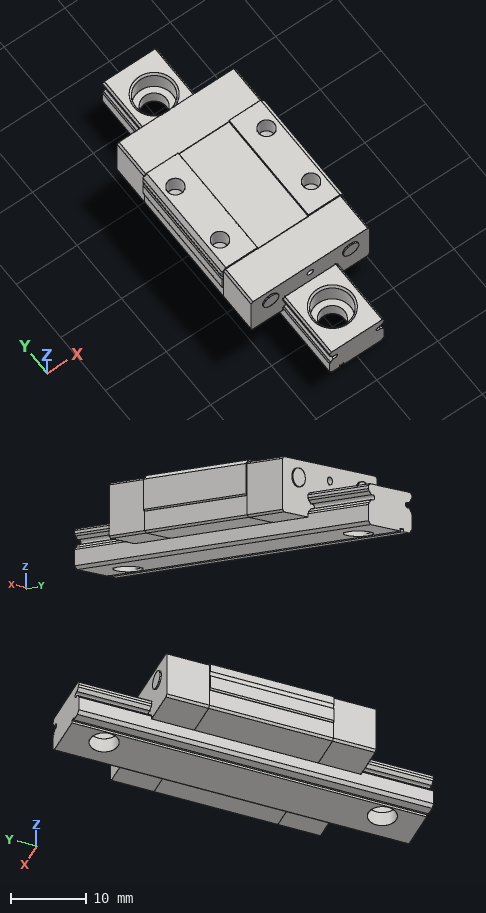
import cadquery as cq
import math


RAIL_LENGTH = 51.0
BLOCK_WIDTH = 20.0
ASSEMBLY_HEIGHT = 10.0

RAIL_WIDTH = 9.0
RAIL_HEIGHT = 5.5
RAIL_TOP_CHAMFER = 0.3
RAIL_BOTTOM_CHAMFER = 0.45
RACE_CENTRE_Z = 3.7
RACE_HALF_OPENING = 1.05
RACE_BEVEL_HEIGHT = 0.3
RACE_BEVEL_INSET = 0.15
RACE_ROOT_INSET = 0.6
RELIEF_RADIUS = 0.33
RELIEF_DEPTH = 1.3
MARK_WIDTH = 0.65
MARK_DEPTH = 0.35
MARK_X = -2.45

RAIL_HOLE_PITCH = 40.0
RAIL_HOLE_DIAMETER = 4.0
COUNTERBORE_DIAMETER = 6.0
COUNTERBORE_DEPTH = 3.25
COUNTERBORE_CHAMFER = 0.3

CARRIAGE_LENGTH = 30.1
BLOCK_LENGTH = 17.8
CAP_LENGTH = (CARRIAGE_LENGTH - BLOCK_LENGTH) / 2
CAP_WIDTH = 19.5
CAP_TOP_Z = 9.7
CARRIAGE_BOTTOM_Z = 2.2
CARRIAGE_CHAMFER = 0.3

BLOCK_TOP_CHAMFER = 0.6
LEDGE_Z = 5.1
LEDGE_CHAMFER = 0.2
TOP_RECESS_WIDTH = 8.35
TOP_RECESS_DEPTH = 0.4
SIDE_GROOVE_Z = 7.75
SIDE_GROOVE_RADIUS = 0.45
SIDE_GROOVE_DEPTH = 0.2
TAPPED_HOLE_PITCH_X = 15.0
TAPPED_HOLE_PITCH_Y = 10.0
TAPPED_HOLE_DIAMETER = 2.55
TAPPED_HOLE_DEPTH = 3.0
DRILL_POINT_ANGLE = 118.0

SCREW_HEAD_SPACING = 13.15
SCREW_HEAD_Z = 7.25
SCREW_HEAD_DIAMETER = 2.55
SCREW_HEAD_HEIGHT = 0.2
GREASE_PORT_DIAMETER = 1.0
GREASE_PORT_Z = 7.7


def bar_along_y(section_width, bottom_z, top_z, length):
    """Rectangular bar centred on X = 0 and Y = 0."""
    height = top_z - bottom_z
    return cq.Workplane("XY").box(section_width, length, height).translate((0, 0, bottom_z + height / 2))


def race_cutter(side):
    """Ball race for one rail flank: a bevelled V groove running into a round-bottomed relief slot."""
    flank_x = RAIL_WIDTH / 2
    bevel_x = flank_x - RACE_BEVEL_INSET
    bevel_half_opening = RACE_HALF_OPENING - RACE_BEVEL_HEIGHT
    root_x = flank_x - RACE_ROOT_INSET
    slot_end_x = flank_x - RELIEF_DEPTH
    arc_start_x = slot_end_x + RELIEF_RADIUS
    outline = (
        cq.Workplane("XZ", origin=(0, RAIL_LENGTH / 2, RACE_CENTRE_Z))
        .moveTo(side * flank_x, RACE_HALF_OPENING)
        .lineTo(side * bevel_x, bevel_half_opening)
        .lineTo(side * root_x, RELIEF_RADIUS)
        .lineTo(side * arc_start_x, RELIEF_RADIUS)
        .threePointArc((side * slot_end_x, 0), (side * arc_start_x, -RELIEF_RADIUS))
        .lineTo(side * root_x, -RELIEF_RADIUS)
        .lineTo(side * bevel_x, -bevel_half_opening)
        .lineTo(side * flank_x, -RACE_HALF_OPENING)
        .close()
    )
    return outline.extrude(RAIL_LENGTH)


def make_rail_bar():
    """Rail without its mounting holes; also the shape of the channel through the carriage."""
    bar = bar_along_y(RAIL_WIDTH, 0, RAIL_HEIGHT, RAIL_LENGTH)
    bar = bar.edges("|Y and >Z").chamfer(RAIL_TOP_CHAMFER)
    bar = bar.edges("|Y and <Z").chamfer(RAIL_BOTTOM_CHAMFER)
    for side in (-1, 1):
        bar = bar.cut(race_cutter(side))
    reference_mark = bar_along_y(MARK_WIDTH, 0, MARK_DEPTH, RAIL_LENGTH).translate((MARK_X, 0, 0))
    return bar.cut(reference_mark)


def make_rail(rail_bar):
    """Rail with a chamfered, counterbored mounting hole near each end."""
    mouth_diameter = COUNTERBORE_DIAMETER + 2 * COUNTERBORE_CHAMFER
    hole_points = [(0, -RAIL_HOLE_PITCH / 2), (0, RAIL_HOLE_PITCH / 2)]
    top = cq.Workplane("XY", origin=(0, 0, RAIL_HEIGHT)).pushPoints(hole_points)
    mouth = cq.Solid.makeCone(
        mouth_diameter / 2, COUNTERBORE_DIAMETER / 2, COUNTERBORE_CHAMFER, dir=cq.Vector(0, 0, -1)
    )
    rail = rail_bar.cut(top.circle(RAIL_HOLE_DIAMETER / 2).extrude(-RAIL_HEIGHT))
    rail = rail.cut(top.circle(COUNTERBORE_DIAMETER / 2).extrude(-COUNTERBORE_DEPTH))
    return rail.cut(top.eachpoint(lambda place: mouth.moved(place)))


def tapped_holes():
    """Four blind holes with conical drill points, opening in the top of the block."""
    radius = TAPPED_HOLE_DIAMETER / 2
    point_length = radius / math.tan(math.radians(DRILL_POINT_ANGLE / 2))
    drill = (
        cq.Workplane("XZ")
        .lineTo(radius, 0)
        .lineTo(radius, -TAPPED_HOLE_DEPTH)
        .lineTo(0, -TAPPED_HOLE_DEPTH - point_length)
        .close()
        .revolve(360, (0, 0), (0, 1))
        .val()
    )
    return (
        cq.Workplane("XY", origin=(0, 0, ASSEMBLY_HEIGHT))
        .rarray(TAPPED_HOLE_PITCH_X, TAPPED_HOLE_PITCH_Y, 2, 2)
        .eachpoint(lambda place: drill.moved(place))
    )


def make_block(rail_bar):
    """Carriage block: a wide upper part over a narrower lower part."""
    upper = bar_along_y(BLOCK_WIDTH, LEDGE_Z, ASSEMBLY_HEIGHT, BLOCK_LENGTH)
    upper = upper.edges("|Y and >Z").chamfer(BLOCK_TOP_CHAMFER)
    upper = upper.edges("|Y and <Z").chamfer(LEDGE_CHAMFER)
    lower = bar_along_y(CAP_WIDTH, CARRIAGE_BOTTOM_Z, LEDGE_Z, BLOCK_LENGTH)
    lower = lower.edges("|Y and <Z").chamfer(CARRIAGE_CHAMFER)
    recess_floor_z = ASSEMBLY_HEIGHT - TOP_RECESS_DEPTH
    top_recess = bar_along_y(TOP_RECESS_WIDTH, recess_floor_z, ASSEMBLY_HEIGHT, BLOCK_LENGTH)
    groove_axis_x = -BLOCK_WIDTH / 2 + SIDE_GROOVE_DEPTH - SIDE_GROOVE_RADIUS
    side_groove = (
        cq.Workplane("XZ", origin=(groove_axis_x, BLOCK_LENGTH / 2, SIDE_GROOVE_Z))
        .circle(SIDE_GROOVE_RADIUS)
        .extrude(BLOCK_LENGTH)
    )
    block = upper.union(lower).cut(top_recess).cut(side_groove)
    return block.cut(tapped_holes()).cut(rail_bar)


def make_end_cap(rail_bar, end):
    """End cap at the -Y (end = -1) or +Y (end = 1) end, with two screw heads and a grease port."""
    centre_y = end * (BLOCK_LENGTH + CAP_LENGTH) / 2
    cap = bar_along_y(CAP_WIDTH, CARRIAGE_BOTTOM_Z, CAP_TOP_Z, CAP_LENGTH)
    cap = cap.edges("|Y").chamfer(CARRIAGE_CHAMFER).translate((0, centre_y, 0))
    outer_face = cq.Workplane("XZ", origin=(0, end * CARRIAGE_LENGTH / 2, 0))
    screw_points = [(side * SCREW_HEAD_SPACING / 2, SCREW_HEAD_Z) for side in (-1, 1)]
    screw_heads = (
        outer_face.pushPoints(screw_points)
        .circle(SCREW_HEAD_DIAMETER / 2)
        .extrude(-end * SCREW_HEAD_HEIGHT)
    )
    grease_port = (
        outer_face.center(0, GREASE_PORT_Z).circle(GREASE_PORT_DIAMETER / 2).extrude(end * CAP_LENGTH)
    )
    return cap.union(screw_heads).cut(grease_port).cut(rail_bar)


rail_bar = make_rail_bar()
rail = make_rail(rail_bar)
block = make_block(rail_bar)
end_caps = [make_end_cap(rail_bar, end) for end in (-1, 1)]

bodies = [rail, block, *end_caps]
result = cq.Compound.makeCompound([body.solids().val() for body in bodies])